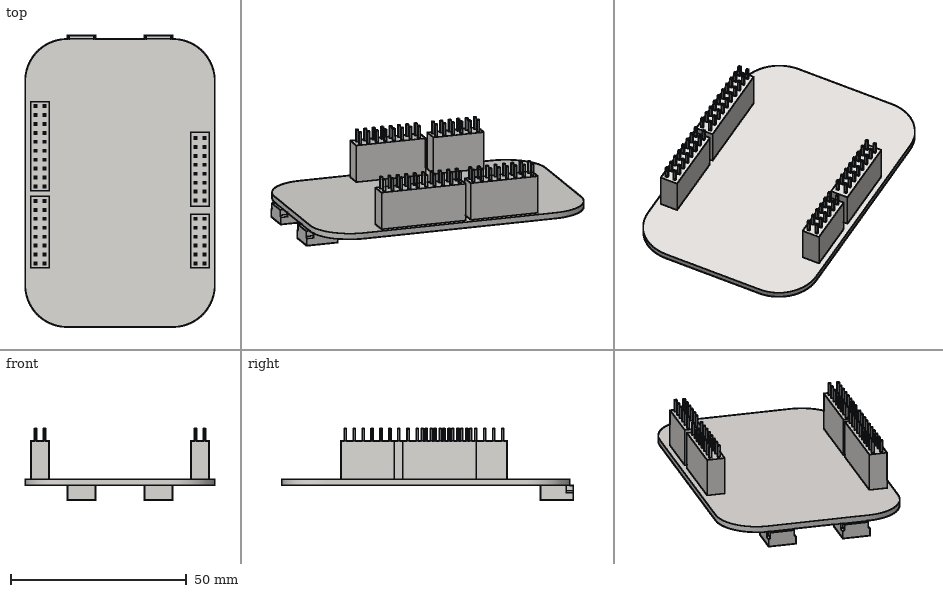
import cadquery as cq

BOARD_WIDTH = 54.0
BOARD_LENGTH = 82.0
BOARD_THICKNESS = 1.75
BOARD_CORNER_RADIUS = 12.0

PIN_PITCH = 2.54
PIN_WIDTH = 0.64
PIN_HEIGHT = 3.6
PIN_TIP_CHAMFER = 0.2
PIN_COLUMNS = 2
HEADER_WIDTH = 5.2
HEADER_HEIGHT = 10.9
HEADER_OFFSET_X = 22.75
HEADER_FRONT_Y = -24.15

LEFT_FRONT_ROWS = 8
LEFT_BACK_ROWS = 10
LEFT_GAP = 1.6
RIGHT_FRONT_ROWS = 6
RIGHT_BACK_ROWS = 8
RIGHT_GAP = 2.3
RIGHT_BACK_EXTRA_LENGTH = 0.7

SOCKET_WIDTH = 8.05
SOCKET_LENGTH = 9.4
SOCKET_HEIGHT = 4.2
SOCKET_OVERHANG = 1.0
SOCKET_OUTER_X = BOARD_WIDTH / 2 - BOARD_CORNER_RADIUS

NOTCH_LENGTH = 2.1
NOTCH_WIDTH = 0.5
NOTCH_WALL_HEIGHT = 1.6
NOTCH_HEIGHT = 2.1


def make_board():
    board = cq.Workplane("XY").rect(BOARD_WIDTH, BOARD_LENGTH).extrude(-BOARD_THICKNESS)
    return board.edges("|Z").fillet(BOARD_CORNER_RADIUS)


def body_length(rows):
    return rows * PIN_PITCH


def make_header(x, front_y, rows, length):
    """Header body with its pins centred on it, starting at front_y."""
    center = (x, front_y + length / 2)
    body = (
        cq.Workplane("XY")
        .center(*center)
        .rect(HEADER_WIDTH, length)
        .extrude(HEADER_HEIGHT)
    )
    pin = (
        cq.Workplane("XY")
        .rect(PIN_WIDTH, PIN_WIDTH)
        .extrude(PIN_HEIGHT)
        .faces(">Z")
        .chamfer(PIN_TIP_CHAMFER)
    )
    pins = (
        cq.Workplane("XY", origin=(0, 0, HEADER_HEIGHT))
        .center(*center)
        .rarray(PIN_PITCH, PIN_PITCH, PIN_COLUMNS, rows)
        .eachpoint(pin.val(), combine=False)
    )
    return body.union(pins)


def make_header_pair(x, front_rows, back_rows, gap, back_extra_length=0):
    """Two headers in line along Y, separated by a gap."""
    front_length = body_length(front_rows)
    back_length = body_length(back_rows) + back_extra_length
    back_start_y = HEADER_FRONT_Y + front_length + gap
    front_header = make_header(x, HEADER_FRONT_Y, front_rows, front_length)
    back_header = make_header(x, back_start_y, back_rows, back_length)
    return front_header.union(back_header)


def make_socket(center_x):
    """Socket with a full rectangular body and a mouth narrowed at its top by two notches."""
    half_width = SOCKET_WIDTH / 2
    neck_half_width = half_width - NOTCH_WIDTH
    back_y = BOARD_LENGTH / 2 + SOCKET_OVERHANG
    body_end_y = back_y - NOTCH_LENGTH
    socket_top = (center_x, 0, -BOARD_THICKNESS)

    body = (
        cq.Workplane("XZ", origin=socket_top)
        .workplane(offset=-body_end_y)
        .center(0, -SOCKET_HEIGHT / 2)
        .rect(SOCKET_WIDTH, SOCKET_HEIGHT)
        .extrude(SOCKET_LENGTH - NOTCH_LENGTH)
    )
    mouth = (
        cq.Workplane("XZ", origin=socket_top)
        .workplane(offset=-body_end_y)
        .polyline([
            (-neck_half_width, 0),
            (neck_half_width, 0),
            (neck_half_width, -NOTCH_WALL_HEIGHT),
            (half_width, -NOTCH_HEIGHT),
            (half_width, -SOCKET_HEIGHT),
            (-half_width, -SOCKET_HEIGHT),
            (-half_width, -NOTCH_HEIGHT),
            (-neck_half_width, -NOTCH_WALL_HEIGHT),
        ])
        .close()
        .extrude(-NOTCH_LENGTH)
    )
    return body.union(mouth)


left_headers = make_header_pair(-HEADER_OFFSET_X, LEFT_FRONT_ROWS, LEFT_BACK_ROWS, LEFT_GAP)
right_headers = make_header_pair(
    HEADER_OFFSET_X, RIGHT_FRONT_ROWS, RIGHT_BACK_ROWS, RIGHT_GAP, RIGHT_BACK_EXTRA_LENGTH
)

result = make_board().union(left_headers).union(right_headers)
for side in (-1, 1):
    result = result.union(make_socket(side * (SOCKET_OUTER_X - SOCKET_WIDTH / 2)))